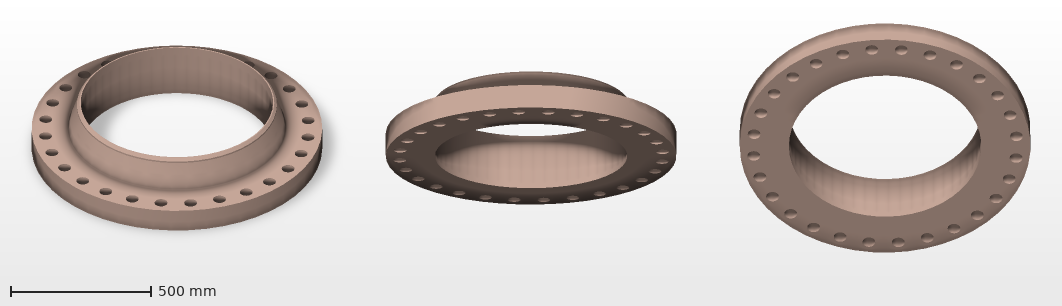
import cadquery as cq

flange_diameter = 1035.0
total_height = 197.0
flange_thickness = 85.0
bore_diameter = 685.0

neck_diameter = 712.0
land_diameter = 693.0
bevel_height = 10.0
band_height = 6.0
hub_base_diameter = 778.0
hub_fillet_radius = 7.0

bolt_count = 28
bolt_circle_diameter = 940.0
bolt_hole_diameter = 46.0

bevel_start_z = total_height - bevel_height
taper_top_z = bevel_start_z - band_height


def revolved_body():
    """Flange ring and welding neck, turned about Z."""
    bore_radius = bore_diameter / 2
    flange_radius = flange_diameter / 2
    neck_radius = neck_diameter / 2
    half_section = (
        cq.Workplane("XZ")
        .moveTo(bore_radius, 0)
        .lineTo(flange_radius, 0)
        .lineTo(flange_radius, flange_thickness)
        .lineTo(hub_base_diameter / 2, flange_thickness)
        .lineTo(neck_radius, taper_top_z)
        .lineTo(neck_radius, bevel_start_z)
        .lineTo(land_diameter / 2, total_height)
        .lineTo(bore_radius, total_height)
        .close()
    )
    return half_section.revolve(360, (0, 0, 0), (0, 1, 0))


def fillet_hub_base(body):
    """Round the inside corner between the tapered hub and the flange face."""
    hub_corner = cq.selectors.RadiusNthSelector(-2)
    return body.edges("%CIRCLE").edges(hub_corner).fillet(hub_fillet_radius)


def drill_bolt_holes(body):
    """Drill the evenly spaced bolt holes, the first one on the +X axis."""
    holes = (
        cq.Workplane("XY")
        .polarArray(bolt_circle_diameter / 2, 0, 360, bolt_count)
        .circle(bolt_hole_diameter / 2)
        .extrude(flange_thickness)
    )
    return body.cut(holes)


result = drill_bolt_holes(fillet_hub_base(revolved_body()))